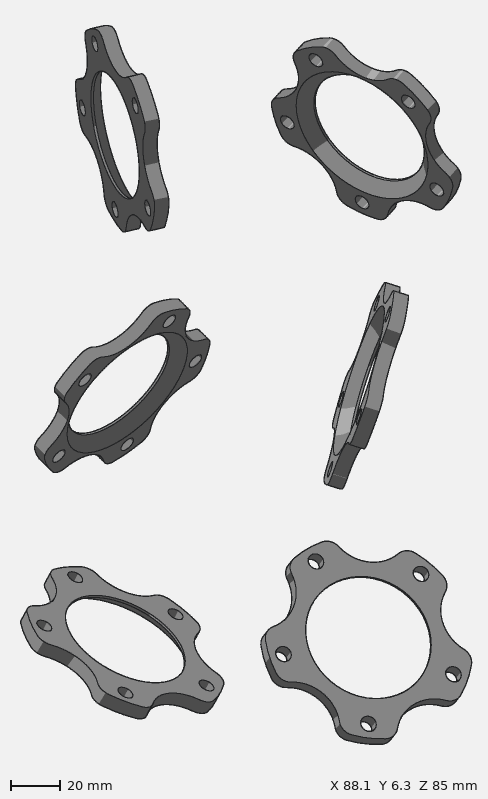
import cadquery as cq
import math

lobe_count = 5
thickness = 6.3
outer_radius = 44.5
bore_radius = 26.8
bore_lip_length = 1.15
bore_flare_angle = 45
bolt_circle_radius = 38.1
bolt_hole_radius = 3.3
scallop_radius = 18.1
scallop_floor_radius = 33.4
corner_radius = 6.2
first_scallop_angle = 90

front_y = -thickness / 2
back_y = thickness / 2
scallop_center_radius = scallop_floor_radius + scallop_radius
pitch_angle = 360 / lobe_count
first_hole_angle = first_scallop_angle + pitch_angle / 2
flare_length = thickness - bore_lip_length
flare_radius = bore_radius + flare_length * math.tan(math.radians(bore_flare_angle))


def polar_points(radius, first_angle):
    """Points evenly spaced around the ring axis, one per lobe."""
    angles = [math.radians(first_angle + i * pitch_angle) for i in range(lobe_count)]
    return [(radius * math.cos(a), radius * math.sin(a)) for a in angles]


def cylinders(points, radius):
    """Cylinders along Y through the full thickness."""
    return (
        cq.Workplane("XZ", origin=(0, back_y, 0))
        .pushPoints(points)
        .circle(radius)
        .extrude(thickness)
    )


def lobed_disc():
    """Disc with scallops cut into its rim and the lobe corners rounded."""
    disc = cylinders([(0, 0)], outer_radius)
    scallops = cylinders(polar_points(scallop_center_radius, first_scallop_angle), scallop_radius)
    return disc.cut(scallops).edges("|Y").fillet(corner_radius)


def flared_bore():
    """Bore with a straight lip at the front that opens out towards the back."""
    return (
        cq.Workplane("XY")
        .moveTo(0, front_y)
        .lineTo(bore_radius, front_y)
        .lineTo(bore_radius, front_y + bore_lip_length)
        .lineTo(flare_radius, back_y)
        .lineTo(0, back_y)
        .close()
        .revolve(360, (0, 0, 0), (0, 1, 0))
    )


bolt_holes = cylinders(polar_points(bolt_circle_radius, first_hole_angle), bolt_hole_radius)

result = lobed_disc().cut(flared_bore()).cut(bolt_holes)